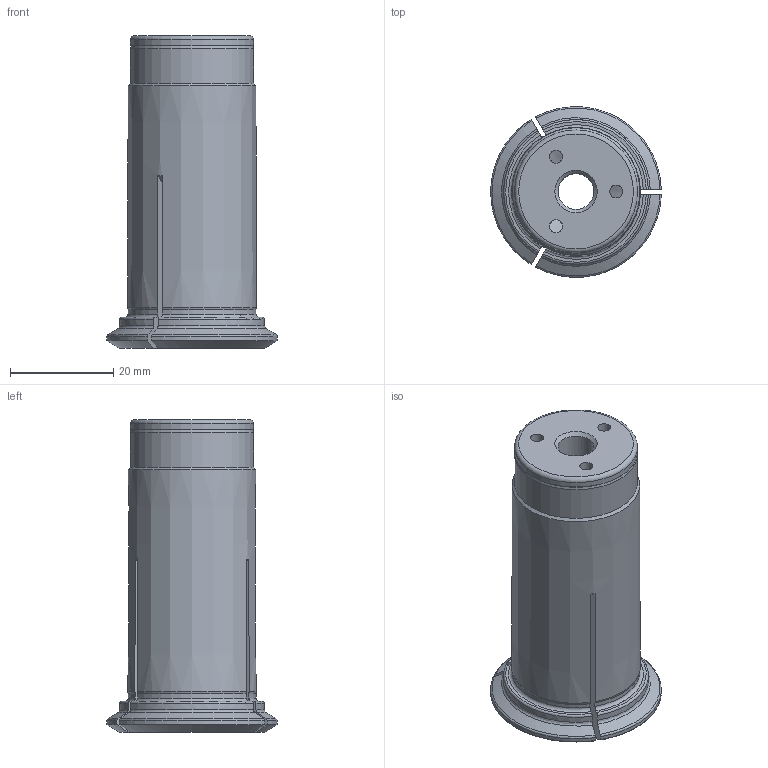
import cadquery as cq
import math

total_height = 60.5
rim_low_z = 1.5
rim_high_z = 2.55
collar_low_z = 4.0
collar_top_z = 6.0
neck_high_z = 7.45
body_low_z = 7.85
body_high_z = 50.75
shoulder_z = 51.25
groove_low_z = 58.0
groove_high_z = 58.6

rim_radius = 33.0 / 2
collar_radius = 28.0 / 2
neck_radius = 24.76 / 2
body_low_radius = 24.96 / 2
body_high_radius = 24.7 / 2
head_radius = 23.8 / 2
groove_depth = 0.15

head_fillet = 0.8
collar_fillet = 0.4
neck_fillet = 0.65
rim_fillet = 0.5
rim_low_fillet = 0.15
cone_fillet = 0.75

bore_radius = 12.0 / 2
chamber_radius = 20.4 / 2
chamber_floor_z = 38.0
chamber_roof_z = 44.0
chamber_floor_angle = 30.0
center_hole_radius = 6.92 / 2
center_hole_mouth_radius = 8.2 / 2

passage_count = 3
passage_diameter = 2.5
passage_circle_radius = 7.75

slot_count = 3
slot_width = 1.0
slot_top_z = 33.5
slot_end_angle = 40.0
slot_overrun = 1.0


def fillet_ring(solid, z, radius, size):
    """Round the circular edge of the given radius at height z."""
    tolerance = 0.01
    ring = [
        edge
        for edge in solid.edges("%CIRCLE").vals()
        if abs(edge.Center().z - z) < tolerance and abs(edge.radius() - radius) < tolerance
    ]
    return solid.newObject(ring).fillet(size)


def make_outside():
    """Revolved outer form with its rounded edges."""
    outline = [
        (0, 0),
        (collar_radius, 0),
        (rim_radius, rim_low_z),
        (rim_radius, rim_high_z),
        (collar_radius, collar_low_z),
        (collar_radius, collar_top_z),
        (neck_radius, collar_top_z),
        (neck_radius, neck_high_z),
        (body_low_radius, body_low_z),
        (body_high_radius, body_high_z),
        (head_radius, shoulder_z),
        (head_radius, groove_low_z),
        (head_radius - groove_depth, groove_high_z),
        (head_radius, groove_high_z),
        (head_radius, total_height),
        (0, total_height),
    ]
    solid = cq.Workplane("XZ").polyline(outline).close().revolve(360, (0, 0), (0, 1))
    rounded_rings = [
        (rim_low_z, rim_radius, rim_low_fillet),
        (rim_high_z, rim_radius, rim_fillet),
        (collar_low_z, collar_radius, cone_fillet),
        (collar_top_z, collar_radius, collar_fillet),
        (collar_top_z, neck_radius, neck_fillet),
        (total_height, head_radius, head_fillet),
    ]
    for z, radius, size in rounded_rings:
        solid = fillet_ring(solid, z, radius, size)
    return solid


def cut_bore(solid):
    """Bore, the chamber above it with a conical floor, and the chamfered centre hole."""
    floor_rise = (chamber_radius - bore_radius) * math.tan(math.radians(chamber_floor_angle))
    chamfer = center_hole_mouth_radius - center_hole_radius
    inside = [
        (0, 0),
        (bore_radius, 0),
        (bore_radius, chamber_floor_z),
        (chamber_radius, chamber_floor_z + floor_rise),
        (chamber_radius, chamber_roof_z),
        (center_hole_radius, chamber_roof_z),
        (center_hole_radius, total_height - chamfer),
        (center_hole_mouth_radius, total_height),
        (0, total_height),
    ]
    return solid.cut(cq.Workplane("XZ").polyline(inside).close().revolve(360, (0, 0), (0, 1)))


def cut_passages(solid):
    """Ring of holes through the end wall into the chamber."""
    passages = (
        cq.Workplane("XY", origin=(0, 0, chamber_roof_z))
        .polarArray(passage_circle_radius, 0, 360, passage_count)
        .circle(passage_diameter / 2)
        .extrude(total_height - chamber_roof_z)
    )
    return solid.cut(passages)


def cut_slots(solid):
    """Radial slots through the wall, each with a closed end sloping down towards the bore."""
    end_slope = math.tan(math.radians(slot_end_angle))
    outer_radius = rim_radius + slot_overrun
    slot_outline = [
        (0, 0),
        (outer_radius, 0),
        (outer_radius, slot_top_z + (outer_radius - body_low_radius) * end_slope),
        (0, slot_top_z - body_low_radius * end_slope),
    ]
    slot = cq.Workplane("XZ").polyline(slot_outline).close().extrude(slot_width / 2, both=True)
    for i in range(slot_count):
        solid = solid.cut(slot.rotate((0, 0, 0), (0, 0, 1), i * 360 / slot_count))
    return solid


result = cut_slots(cut_passages(cut_bore(make_outside())))